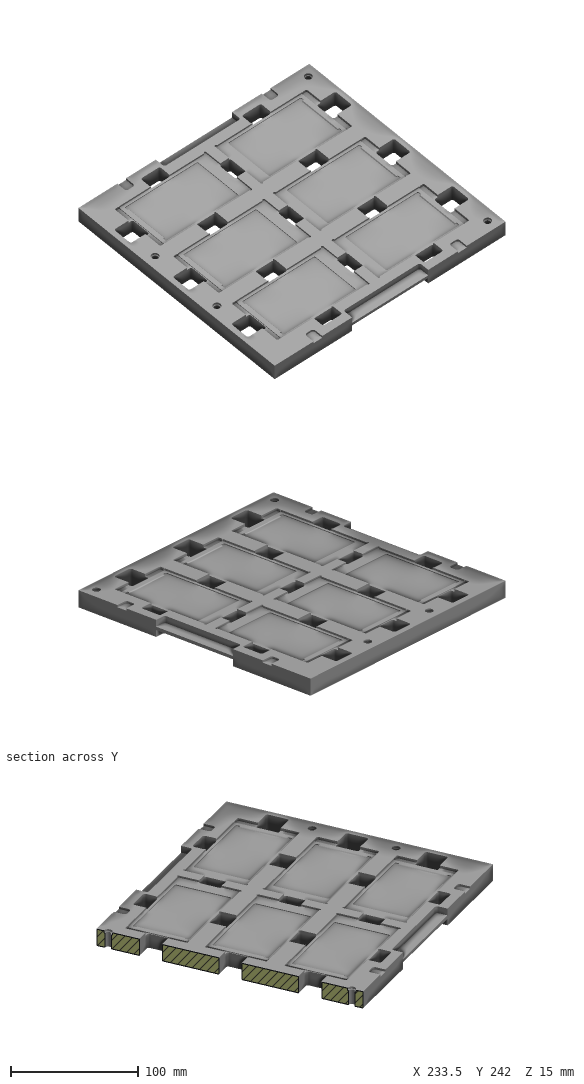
import cadquery as cq
LENGTH_X = 233.5
LENGTH_Y = 242.0
THICKNESS = 15.0

COLUMN_PITCH = 69.7
COLUMN_XS = [-COLUMN_PITCH, 0, COLUMN_PITCH]
ROW_SIDES = [1, -1]
TRAY_WIDTH = 54.5
TRAY_INNER_Y = 4.5
TRAY_OUTER_Y = 95.8
TRAY_DEPTH = 1.7
RELIEF_DIAMETER = 2.2

STEP_OUTER_Y = 100.7
STEP_DEPTH = 2.5
STEP_CORNER_RADIUS = 1.2

RECESS_WIDTH = 49.4
RECESS_INNER_Y = 16.0
RECESS_OUTER_Y = 92.5
RECESS_DEPTH = 0.7
RECESS_CORNER_RADIUS = 1.2
LIP_WIDTH = 42.0
LIP_TOP_Y = 91.2
LIP_FOOT_Y = 90.5

SIDE_WINDOW_HEIGHT = 20.0
WINDOW_RADIUS = 2.0
END_WINDOW_Y = 106.2
END_WINDOW_HEIGHT = 19.5
COLUMN_WINDOW_WIDTH = 19.8
COLUMN_WINDOW_SHIFT = -0.5
MIDDLE_WINDOW_HEIGHT = 11.4
SIDE_WINDOW_Y = 53.0
BETWEEN_WINDOW_WIDTH = 16.0
EDGE_WINDOW_WIDTH = 12.0
EDGE_WINDOW_X = 102.5

GRIP_LENGTH = 79.9
GRIP_DEPTH = 10.2
GRIP_RADIUS = 2.2
WEB_BOTTOM = 6.0
WEB_TOP = 9.0

NOTCH_Y = 75.7
NOTCH_WIDTH = 9.2
NOTCH_LENGTH = 10.6
NOTCH_DEPTH = 2.0
NOTCH_RADIUS = 2.5

HOLE_DIAMETER = 5.0
COUNTERBORE_DIAMETER = 7.0
COUNTERBORE_DEPTH = 2.0
HOLE_POINTS = [(-106.7, 111.0), (106.7, 111.0), (-36.8, -111.0), (36.8, -111.0)]


def block(x_center, y_center, width, height, z_bottom, z_top, radius=0):
    """Upright block, with rounded vertical edges if a radius is given."""
    body = (
        cq.Workplane("XY", origin=(x_center, y_center, z_bottom))
        .rect(width, height)
        .extrude(z_top - z_bottom)
    )
    return body.edges("|Z").fillet(radius) if radius else body


def tray_cutter(x_center):
    """Everything removed for one tray of the +Y row."""
    floor = THICKNESS - TRAY_DEPTH
    recess_floor = floor - RECESS_DEPTH

    tray_y = (TRAY_INNER_Y + TRAY_OUTER_Y) / 2
    tray_height = TRAY_OUTER_Y - TRAY_INNER_Y
    tray = block(x_center, tray_y, TRAY_WIDTH, tray_height, floor, THICKNESS)

    step_y = (TRAY_OUTER_Y + STEP_OUTER_Y) / 2
    step_height = STEP_OUTER_Y - TRAY_OUTER_Y
    step_floor = THICKNESS - STEP_DEPTH
    step = block(x_center, step_y, TRAY_WIDTH, step_height, step_floor, THICKNESS, STEP_CORNER_RADIUS)

    reliefs = (
        cq.Workplane("XY", origin=(x_center, TRAY_INNER_Y + RELIEF_DIAMETER / 2, floor))
        .pushPoints([(-TRAY_WIDTH / 2, 0), (TRAY_WIDTH / 2, 0)])
        .circle(RELIEF_DIAMETER / 2)
        .extrude(TRAY_DEPTH)
    )

    recess_y = (RECESS_INNER_Y + RECESS_OUTER_Y) / 2
    recess_height = RECESS_OUTER_Y - RECESS_INNER_Y
    recess = block(
        x_center, recess_y, RECESS_WIDTH, recess_height, recess_floor, floor, RECESS_CORNER_RADIUS
    )
    lip = (
        cq.Workplane("YZ", origin=(x_center, 0, 0))
        .moveTo(LIP_FOOT_Y, recess_floor)
        .lineTo(LIP_TOP_Y, floor)
        .lineTo(RECESS_OUTER_Y, floor)
        .lineTo(RECESS_OUTER_Y, recess_floor)
        .close()
        .extrude(LIP_WIDTH / 2, both=True)
    )
    return tray.union(step).union(reliefs).union(recess.cut(lip))


def window(x_center, y_center, width, height):
    """Rounded window through the full thickness."""
    return block(x_center, y_center, width, height, 0, THICKNESS, WINDOW_RADIUS)


def grip_cutter(side, z_bottom, z_top):
    """Slot in one side edge, rounded at its inner corners."""
    return block(side * LENGTH_X / 2, 0, 2 * GRIP_DEPTH, GRIP_LENGTH, z_bottom, z_top, GRIP_RADIUS)


def notch_cutter(side, row):
    """Shallow notch in the top of one side edge, rounded at its inner corners."""
    return block(
        side * LENGTH_X / 2,
        row * NOTCH_Y,
        2 * NOTCH_LENGTH,
        NOTCH_WIDTH,
        THICKNESS - NOTCH_DEPTH,
        THICKNESS,
        NOTCH_RADIUS,
    )


plate = block(0, 0, LENGTH_X, LENGTH_Y, 0, THICKNESS)

for column_x in COLUMN_XS:
    cutter = tray_cutter(column_x)
    plate = plate.cut(cutter).cut(cutter.mirror("XZ"))

for column_x in COLUMN_XS:
    window_x = column_x + COLUMN_WINDOW_SHIFT
    plate = plate.cut(window(window_x, 0, COLUMN_WINDOW_WIDTH, MIDDLE_WINDOW_HEIGHT))
    for row in ROW_SIDES:
        plate = plate.cut(window(window_x, row * END_WINDOW_Y, COLUMN_WINDOW_WIDTH, END_WINDOW_HEIGHT))

for side in [-1, 1]:
    for row in ROW_SIDES:
        window_y = row * SIDE_WINDOW_Y
        between_x = side * COLUMN_PITCH / 2
        plate = plate.cut(window(between_x, window_y, BETWEEN_WINDOW_WIDTH, SIDE_WINDOW_HEIGHT))
        plate = plate.cut(window(side * EDGE_WINDOW_X, window_y, EDGE_WINDOW_WIDTH, SIDE_WINDOW_HEIGHT))
        plate = plate.cut(notch_cutter(side, row))
    plate = plate.cut(grip_cutter(side, 0, WEB_BOTTOM))
    plate = plate.cut(grip_cutter(side, WEB_TOP, THICKNESS))

result = (
    plate.faces(">Z")
    .workplane(origin=(0, 0, THICKNESS))
    .pushPoints(HOLE_POINTS)
    .cboreHole(HOLE_DIAMETER, COUNTERBORE_DIAMETER, COUNTERBORE_DEPTH)
)